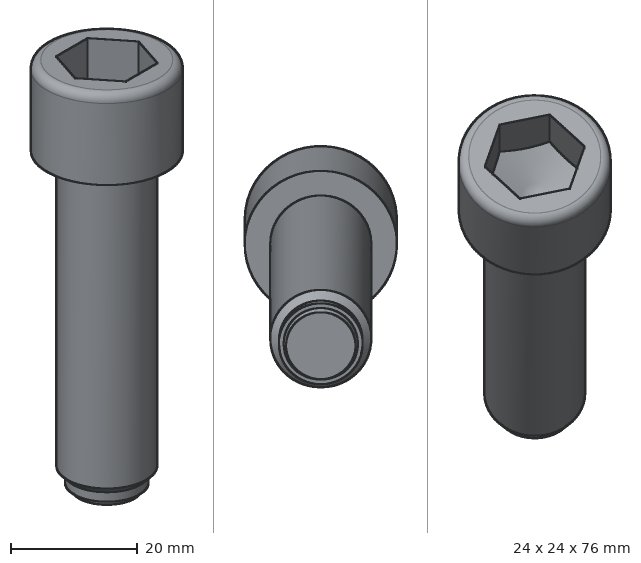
import cadquery as cq
import math

total_length = 76.0
head_diameter = 24.0
head_height = 16.0
head_fillet = 1.6
shank_diameter = 15.95

hex_across_flats = 14.0
hex_depth = 8.2
floor_cone_angle = 120.0

collar_diameter = 13.2
collar_length = 1.7
ball_protrusion = 1.15

ball_diameter = 12.0
ball_flat_diameter = 10.95

head_bottom = total_length - head_height
collar_top = ball_protrusion + collar_length
chamfer_size = (shank_diameter - collar_diameter) / 2
hex_corner_radius = hex_across_flats / math.sqrt(3)
ball_radius = ball_diameter / 2
ball_center_height = math.sqrt(ball_radius**2 - (ball_flat_diameter / 2) ** 2)


def make_ball():
    """Sphere cut off flat at Z = 0."""
    sphere = cq.Workplane("XY").sphere(ball_radius).translate((0, 0, ball_center_height))
    upper_space = cq.Workplane("XY").rect(head_diameter, head_diameter).extrude(total_length)
    return sphere.intersect(upper_space)


def make_head():
    """Cylindrical head with a rounded top edge."""
    head = cq.Workplane("XY").workplane(offset=head_bottom).circle(head_diameter / 2).extrude(head_height)
    return head.faces(">Z").edges().fillet(head_fillet)


def make_shank():
    """Shank from the head down to the chamfer and the collar."""
    return (
        cq.Workplane("XZ")
        .moveTo(0, ball_protrusion)
        .lineTo(collar_diameter / 2, ball_protrusion)
        .lineTo(collar_diameter / 2, collar_top)
        .lineTo(shank_diameter / 2, collar_top + chamfer_size)
        .lineTo(shank_diameter / 2, head_bottom)
        .lineTo(0, head_bottom)
        .close()
        .revolve(360, (0, 0), (0, 1))
    )


def make_hex_socket():
    """Hexagonal hole whose floor is a cone that starts at the hexagon corners."""
    cone_base = total_length - hex_depth
    cone_depth = hex_corner_radius / math.tan(math.radians(floor_cone_angle / 2))
    hexagon = (
        cq.Workplane("XY")
        .workplane(offset=total_length)
        .polygon(6, 2 * hex_corner_radius)
        .extrude(-hex_depth - cone_depth)
    )
    drilled_space = (
        cq.Workplane("XZ")
        .moveTo(0, cone_base - cone_depth)
        .lineTo(hex_corner_radius, cone_base)
        .lineTo(hex_corner_radius, total_length)
        .lineTo(0, total_length)
        .close()
        .revolve(360, (0, 0), (0, 1))
    )
    return hexagon.intersect(drilled_space)


ball = make_ball()
screw = make_shank().union(make_head()).cut(make_hex_socket()).cut(ball)

result = cq.Compound.makeCompound([screw.val(), ball.val()])